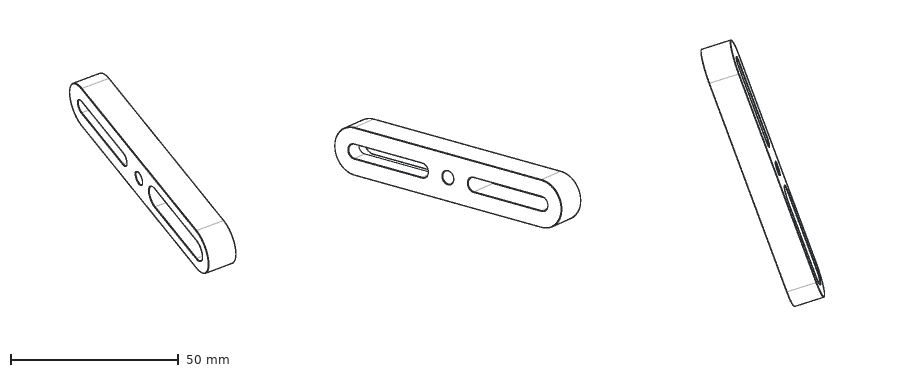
import cadquery as cq

length = 86.35
height = 15.3
thickness = 9.5
edge_chamfer = 0.2

slot_length = 30.2
slot_width = 4.5
slot_offset = 22.7
hole_diameter = 4.15

recess_length = 33.0
recess_width = 7.2
recess_depth = 4.5

front_y = -thickness / 2


def rounded_prism(center_x, prism_length, prism_width, depth):
    """Round-ended prism reaching from the front face to the given depth."""
    return (
        cq.Workplane("XZ", origin=(center_x, front_y + depth, 0))
        .slot2D(prism_length, prism_width)
        .extrude(depth)
    )


left_slot = rounded_prism(-slot_offset, slot_length, slot_width, thickness)
right_slot = rounded_prism(slot_offset, slot_length, slot_width, thickness)
recess = rounded_prism(slot_offset, recess_length, recess_width, recess_depth)
hole = cq.Workplane("XZ", origin=(0, front_y + thickness, 0)).circle(hole_diameter / 2).extrude(thickness)

bar = rounded_prism(0, length, height, thickness)
bar = bar.cut(left_slot).cut(right_slot).cut(recess).cut(hole)

result = bar.faces("<Y or >Y").chamfer(edge_chamfer)